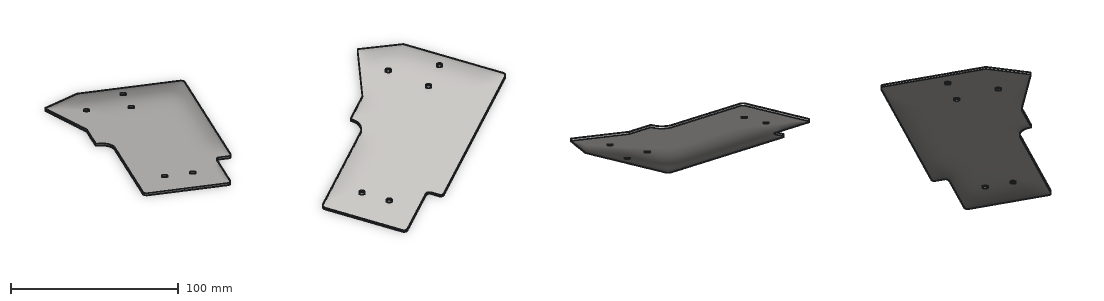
import cadquery as cq

length = 139.6
thickness = 1.5

rear_step_y = -9.9
front_edge_y = -64.1
foot_y = -73.6
left_side_end_y = -66.0

rear_step_x = 105.1
foot_right_x = 67.7
foot_left_x = 47.9

tip_x = 13.7
tip_y = -90.0

outer_radius = 2.2
rear_step_outer_radius = 2.0
rear_step_inner_radius = 2.5
notch_radius = 8.1
foot_radius = 0.7
tip_radius = 0.8

hole_diameter = 3.5
left_pair_y = -39.8
right_pair_x = 120.2
hole_centers = [
    (8.0, left_pair_y),
    (26.0, left_pair_y),
    (22.9, -66.7),
    (right_pair_x, -28.3),
    (right_pair_x, -45.8),
]


def round_corner(plate, x, y, radius):
    """Round the vertical edge of the plate that stands at (x, y)."""
    corner = cq.selectors.NearestToPointSelector((x, y, thickness / 2))
    return plate.edges("|Z").edges(corner).fillet(radius)


sharp_outline = [
    (0, 0),
    (rear_step_x, 0),
    (rear_step_x, rear_step_y),
    (length, rear_step_y),
    (length, front_edge_y),
    (foot_right_x, front_edge_y),
    (foot_right_x, foot_y),
    (foot_left_x, foot_y),
    (tip_x, tip_y),
    (0, left_side_end_y),
]
plate = cq.Workplane("XY").polyline(sharp_outline).close().extrude(thickness)

corner_radii = [
    (0, 0, outer_radius),
    (rear_step_x, 0, rear_step_outer_radius),
    (rear_step_x, rear_step_y, rear_step_inner_radius),
    (length, rear_step_y, outer_radius),
    (length, front_edge_y, outer_radius),
    (foot_right_x, front_edge_y, notch_radius),
    (foot_right_x, foot_y, foot_radius),
    (tip_x, tip_y, tip_radius),
]
for x, y, radius in corner_radii:
    plate = round_corner(plate, x, y, radius)

holes = (
    cq.Workplane("XY")
    .pushPoints(hole_centers)
    .circle(hole_diameter / 2)
    .extrude(thickness)
)
result = plate.cut(holes)